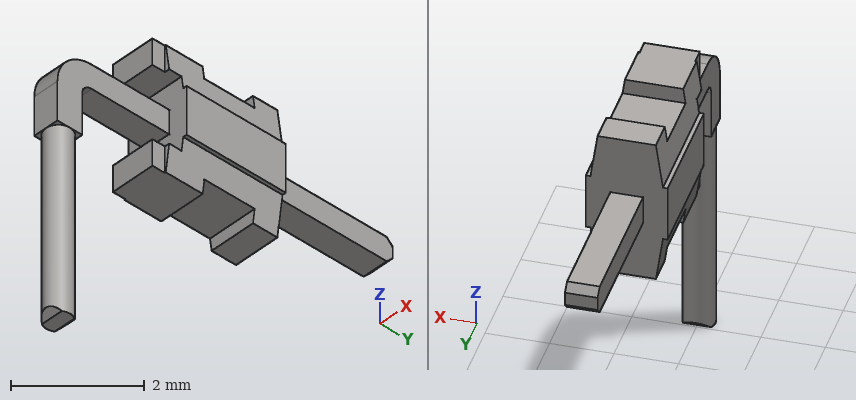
import cadquery as cq


housing_width = 1.27
housing_height = 2.435
band_height = 0.93
taper_base_width = 1.125
taper_end_width = 0.905
housing_back_y = 0.885
housing_front_y = -1.145
prong_length = 0.51
prong_height = 0.51
prong_tip_length = 0.255
prong_tip_width = 0.865
notch_back_y = 0.385
notch_front_y = -0.645
notch_depth = 0.255

pin_length = 6.86
pin_back_y = pin_length / 2
pin_front_y = -pin_length / 2
pin_width = 0.51
pin_height = 0.465
leg_depth = 0.51
bend_outer_radius = 0.69
bend_inner_radius = 0.185
overall_height = 5.99
round_diameter = 0.51
tip_chamfer = 0.125
leg_tip_inset = 0.125
leg_tip_height = 0.125

half_height = housing_height / 2
square_end_z = -half_height
pin_bottom_z = half_height - overall_height
prong_end_y = housing_front_y - prong_length
prong_tip_start_y = prong_end_y + prong_tip_length


def box_between(width, y_min, y_max, z_min, z_max):
    """Box centred on x = 0 between the given y and z limits."""
    return cq.Workplane("XY").box(width, y_max - y_min, z_max - z_min).translate(
        (0, (y_min + y_max) / 2, (z_min + z_max) / 2)
    )


def make_tapered_core():
    """Block narrowing towards top and bottom, running from the back to the prong tips."""
    base = taper_base_width / 2
    end = taper_end_width / 2
    band = band_height / 2
    outline = [
        (base, -band), (base, band), (end, half_height), (-end, half_height),
        (-base, band), (-base, -band), (-end, -half_height), (end, -half_height),
    ]
    return (
        cq.Workplane("XZ", origin=(0, housing_back_y, 0))
        .polyline(outline).close()
        .extrude(housing_back_y - prong_tip_start_y)
    )


def make_housing():
    body = make_tapered_core()

    gap_half = half_height - prong_height
    body = body.cut(box_between(housing_width, prong_end_y, housing_front_y, -gap_half, gap_half))

    band_half = band_height / 2
    body = body.union(box_between(housing_width, housing_front_y, housing_back_y, -band_half, band_half))

    for side in (1, -1):
        tip_z = sorted((side * gap_half, side * half_height))
        body = body.union(box_between(prong_tip_width, prong_end_y, prong_tip_start_y, *tip_z))
        notch_z = sorted((side * (half_height - notch_depth), side * half_height))
        body = body.cut(box_between(housing_width, notch_front_y, notch_back_y, *notch_z))

    hole_half = pin_height / 2
    return body.cut(box_between(pin_width, housing_front_y, housing_back_y, -hole_half, hole_half))


def make_square_pin():
    """Horizontal arm with a chamfered back end, the bend and the square part of the leg."""
    top = pin_height / 2
    leg_back_y = pin_front_y + leg_depth
    return (
        cq.Workplane("YZ", origin=(-pin_width / 2, 0, 0))
        .moveTo(pin_back_y - tip_chamfer, top)
        .lineTo(pin_front_y + bend_outer_radius, top)
        .radiusArc((pin_front_y, top - bend_outer_radius), -bend_outer_radius)
        .lineTo(pin_front_y, square_end_z)
        .lineTo(leg_back_y, square_end_z)
        .lineTo(leg_back_y, -top - bend_inner_radius)
        .radiusArc((leg_back_y + bend_inner_radius, -top), bend_inner_radius)
        .lineTo(pin_back_y - tip_chamfer, -top)
        .lineTo(pin_back_y, -top + tip_chamfer)
        .lineTo(pin_back_y, top - tip_chamfer)
        .close()
        .extrude(pin_width)
    )


def make_round_leg():
    """Round lower leg, its end bevelled flat at front and back."""
    leg_y = pin_front_y + leg_depth / 2
    radius = round_diameter / 2
    leg = (
        cq.Workplane("XY", origin=(0, leg_y, pin_bottom_z))
        .circle(radius)
        .extrude(square_end_z - pin_bottom_z)
    )
    for side in (1, -1):
        bevel = (
            cq.Workplane("YZ", origin=(-radius, leg_y, pin_bottom_z))
            .polyline([(side * radius, 0), (side * radius, leg_tip_height), (side * (radius - leg_tip_inset), 0)])
            .close()
            .extrude(round_diameter)
        )
        leg = leg.cut(bevel)
    return leg


housing = make_housing()
pin = make_square_pin().union(make_round_leg())

result = cq.Compound.makeCompound([housing.val(), pin.val()])